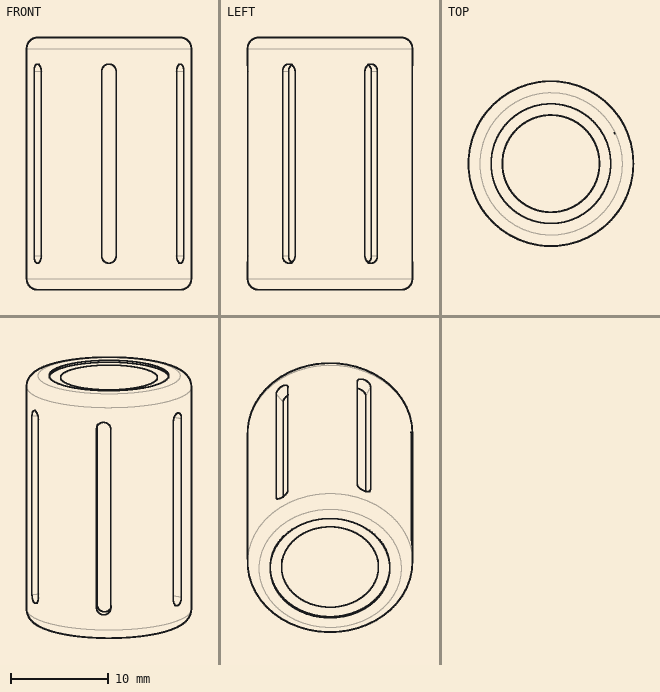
import cadquery as cq

length = 26.0
outer_diameter = 17.0
bore_diameter = 9.98
edge_radius = 1.17

recess_diameter = 12.32
recess_depth = 0.2

slot_count = 6
slot_length = 20.5
slot_width = 1.48
slot_depth = 1.25
first_slot_angle = 30.0


def make_sleeve():
    body = cq.Workplane("XY").circle(outer_diameter / 2).extrude(length)
    body = body.edges().fillet(edge_radius)
    bore = cq.Workplane("XY").circle(bore_diameter / 2).extrude(length)
    return body.cut(bore)


def make_recess(bottom_z):
    return cq.Workplane("XY", origin=(0, 0, bottom_z)).circle(recess_diameter / 2).extrude(recess_depth)


def make_slot(angle):
    """Flat-bottomed slot along Z, cut radially inward at the given angle."""
    floor_radius = outer_diameter / 2 - slot_depth
    slot = (
        cq.Workplane("YZ", origin=(floor_radius, 0, length / 2))
        .slot2D(slot_length, slot_width, 90)
        .extrude(2 * slot_depth)
    )
    return slot.rotate((0, 0, 0), (0, 0, 1), angle)


result = make_sleeve()
for recess_bottom in (0, length - recess_depth):
    result = result.cut(make_recess(recess_bottom))
for index in range(slot_count):
    result = result.cut(make_slot(first_slot_angle + index * 360 / slot_count))